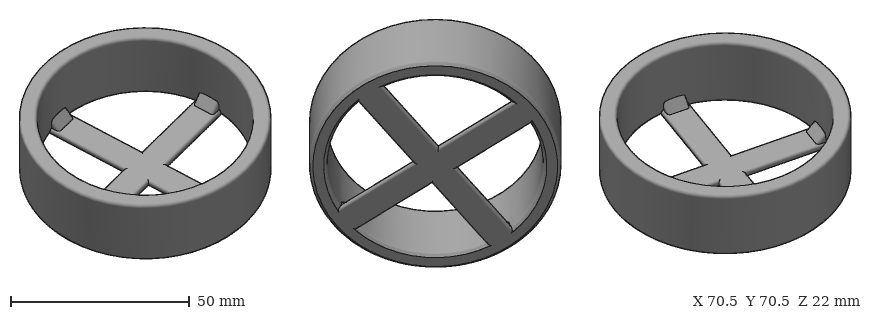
import cadquery as cq

outer_diameter = 70.5
inner_diameter = 60.5
height = 22.0
rim_radius = 1.0
base_chamfer = 1.0
base_blend_radius = 1.0

bar_width = 8.5
bar_thickness = 2.0
bar_edge_radius = 0.8

wedge_width = 7.05
wedge_run = 2.95
wedge_rise = 2.95
wedge_edge_radius = 0.85

inner_radius = inner_diameter / 2
wall_thickness = (outer_diameter - inner_diameter) / 2
wall_middle_radius = inner_radius + wall_thickness / 2


def make_ring():
    """Tube with a rounded top rim and softened chamfers around its base."""
    ring = cq.Workplane("XY").circle(outer_diameter / 2).circle(inner_diameter / 2).extrude(height)
    ring = ring.faces(">Z").edges().fillet(rim_radius)
    ring = ring.faces("<Z").edges().chamfer(base_chamfer)
    chamfer_tops = cq.selectors.BoxSelector(
        (-outer_diameter, -outer_diameter, base_chamfer / 2),
        (outer_diameter, outer_diameter, base_chamfer * 1.5),
    )
    return ring.edges(chamfer_tops).fillet(base_blend_radius)


def make_cross():
    """Two crossed bars with rounded edges, ending inside the wall."""
    length = 2 * wall_middle_radius
    along_x = cq.Workplane("XY").rect(length, bar_width).extrude(bar_thickness)
    along_y = cq.Workplane("XY").rect(bar_width, length).extrude(bar_thickness)
    cross = along_x.union(along_y)
    return cross.faces("<Z or >Z").edges().fillet(bar_edge_radius)


def make_wedge():
    """Wedge on the +X bar, rising outwards and buried in the wall."""
    toe = inner_radius - wedge_run
    slope_top = bar_thickness + wedge_rise
    profile = [
        (toe, bar_thickness),
        (inner_radius, slope_top),
        (wall_middle_radius, slope_top),
        (wall_middle_radius, bar_thickness / 2),
        (toe, bar_thickness / 2),
    ]
    wedge = cq.Workplane("XZ").polyline(profile).close().extrude(wedge_width / 2, both=True)
    slope_middle = (inner_radius - wedge_run / 2, 0, bar_thickness + wedge_rise / 2)
    slope_face = wedge.faces(cq.selectors.NearestToPointSelector(slope_middle))
    return slope_face.edges("not(|Y)").fillet(wedge_edge_radius)


result = make_ring().union(make_cross())
for turn in range(4):
    wedge = make_wedge().rotate((0, 0, 0), (0, 0, 1), 90 * turn)
    result = result.union(wedge)